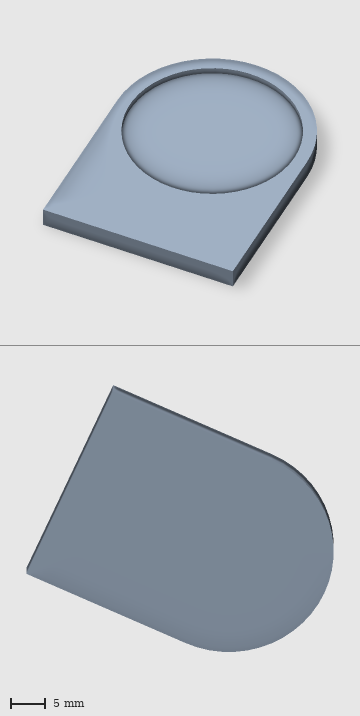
import cadquery as cq

length = 40.0
width = 30.0
thickness = 3.0
pocket_diameter = 26.0
pocket_depth = 1.0

end_radius = width / 2
straight_length = length - end_radius


def make_plate():
    """Flat plate with a square front edge and a half-round back end."""
    return (
        cq.Workplane("XY")
        .moveTo(-end_radius, -straight_length)
        .lineTo(end_radius, -straight_length)
        .lineTo(end_radius, 0)
        .threePointArc((0, end_radius), (-end_radius, 0))
        .close()
        .extrude(thickness)
    )


def make_pocket():
    """Shallow round recess in the top face, concentric with the rounded end."""
    return (
        cq.Workplane("XY")
        .workplane(offset=thickness - pocket_depth)
        .circle(pocket_diameter / 2)
        .extrude(pocket_depth)
    )


result = make_plate().cut(make_pocket())